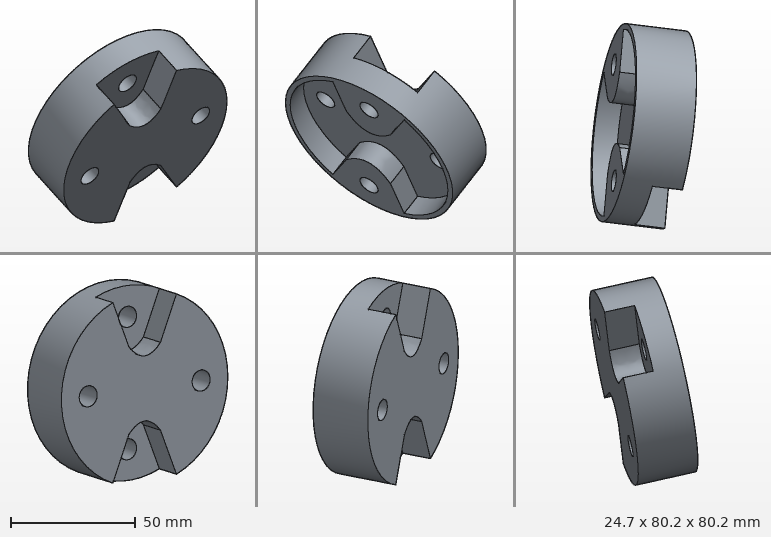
import cadquery as cq

disc_radius = 40.1
disc_thickness = 24.7

rim_thickness = 2.3
pocket_depth = 9.9
pocket_radius = disc_radius - rim_thickness

lug_offset_y = 0.3
lug_rim_half_width = 17.1
lug_rim_height = 33.7
lug_shoulder_half_width = 10.6
lug_shoulder_height = 17.65
lug_tip_height = 11.0

notch_depth = 12.4
notch_rim_half_width = 15.3
notch_rim_height = 37.05
notch_shoulder_half_width = 7.6
notch_shoulder_height = 18.05
notch_tip_height = 13.4

hole_diameter = 8.7
hole_circle_radius = 27.2
hole_count = 4

outer_reach = disc_radius + 4.0


def tongue(depth, rim, shoulder, tip_height):
    """Prism from X = 0 to depth: tapered flanks, rounded tip pointing down at the disc centre.

    rim and shoulder are (half width, height) pairs at the two ends of the straight flank.
    """
    flank_slope = (rim[0] - shoulder[0]) / (rim[1] - shoulder[1])
    outer_half_width = rim[0] + (outer_reach - rim[1]) * flank_slope
    return (
        cq.Workplane("YZ")
        .moveTo(-outer_half_width, outer_reach)
        .lineTo(-shoulder[0], shoulder[1])
        .spline([(0, tip_height), shoulder], includeCurrent=True)
        .lineTo(outer_half_width, outer_reach)
        .close()
        .extrude(depth)
    )


def with_lower_copy(upper):
    """Add the mirror image of a solid below the XY plane."""
    return upper.union(upper.mirror("XY"))


disc = cq.Workplane("YZ").circle(disc_radius).extrude(disc_thickness)

lug = tongue(
    pocket_depth,
    (lug_rim_half_width, lug_rim_height),
    (lug_shoulder_half_width, lug_shoulder_height),
    lug_tip_height,
).translate((0, lug_offset_y, 0))
pocket = cq.Workplane("YZ").circle(pocket_radius).extrude(pocket_depth).cut(with_lower_copy(lug))

notch = tongue(
    notch_depth,
    (notch_rim_half_width, notch_rim_height),
    (notch_shoulder_half_width, notch_shoulder_height),
    notch_tip_height,
).translate((disc_thickness - notch_depth, 0, 0))

holes = (
    cq.Workplane("YZ")
    .polarArray(hole_circle_radius, 0, 360, hole_count)
    .circle(hole_diameter / 2)
    .extrude(disc_thickness)
)

result = disc.cut(pocket).cut(with_lower_copy(notch)).cut(holes)